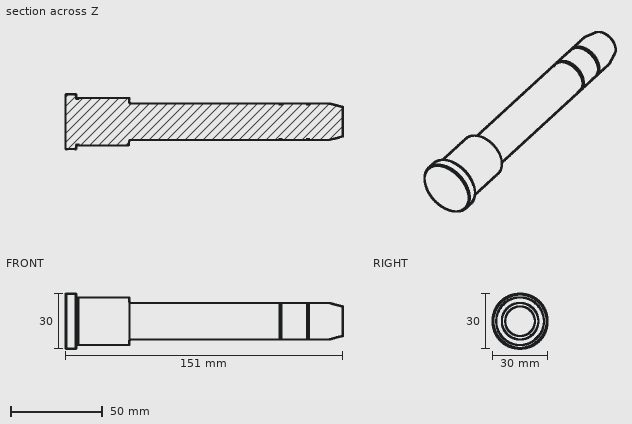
import cadquery as cq

total_length = 151.0

head_diameter = 30.0
head_length = 6.0
head_chamfer = 0.5

body_diameter = 26.0
body_end = 34.9
body_end_fillet = 0.8

shaft_diameter = 20.0
root_fillet = 0.8

tip_length = 7.1
tip_diameter = 16.2

groove_radius = 0.5
body_groove_center = head_length + groove_radius
shaft_groove_centers = (117.0, 132.0)


def cylinder(start, end, diameter):
    """Solid cylinder on the X axis between two X positions."""
    return cq.Workplane("YZ", origin=(start, 0, 0)).circle(diameter / 2).extrude(end - start)


def groove_ring(center, diameter):
    """Ring of round section, centred on a cylinder's surface, that cuts a half-round groove."""
    ring = cq.Solid.makeTorus(diameter / 2, groove_radius, cq.Vector(center, 0, 0), cq.Vector(1, 0, 0))
    return cq.Workplane(ring)


def make_head():
    """Disc with both rims chamfered."""
    return cylinder(0, head_length, head_diameter).edges().chamfer(head_chamfer)


def make_body():
    """Thick cylinder with a rounded free end and a groove behind the head."""
    body = cylinder(head_length, body_end, body_diameter)
    body = body.faces(">X").edges().fillet(body_end_fillet)
    return body.cut(groove_ring(body_groove_center, body_diameter))


def make_shaft():
    """Revolved shaft with a filleted root and a tapered tip, then grooved."""
    shaft_radius = shaft_diameter / 2
    shaft = (
        cq.Workplane("XY")
        .moveTo(body_end, 0)
        .lineTo(body_end, shaft_radius + root_fillet)
        .radiusArc((body_end + root_fillet, shaft_radius), -root_fillet)
        .lineTo(total_length - tip_length, shaft_radius)
        .lineTo(total_length, tip_diameter / 2)
        .lineTo(total_length, 0)
        .close()
        .revolve(360, (0, 0, 0), (1, 0, 0))
    )
    for center in shaft_groove_centers:
        shaft = shaft.cut(groove_ring(center, shaft_diameter))
    return shaft


result = make_head().union(make_body()).union(make_shaft())